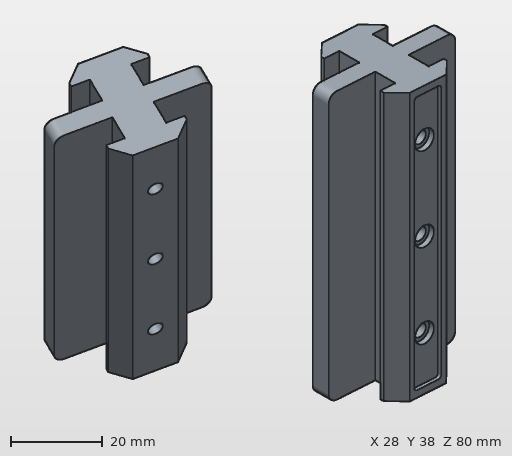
import cadquery as cq

width = 28.0
depth = 38.0
height = 80.0

web_thickness = 5.1
core_depth = 10.0
flange_depth = 19.0
flange_thickness = 5.0
flange_chamfer = 4.0
web_corner_radius = 2.5

recess_width = 8.0
recess_margin = 2.0
recess_depth = 1.0
recess_corner_radius = 0.8

hole_count = 3
hole_spacing = 25.0
hole_diameter = 3.6
counterbore_diameter = 5.6
counterbore_depth = 1.5

recess_floor_x = -width / 2 + recess_depth


def make_web():
    """Central plate in the YZ plane with rounded corners."""
    web = cq.Workplane("XY").box(web_thickness, depth, height)
    return web.edges("|X").fillet(web_corner_radius)


def make_core():
    """Block joining the two flanges through the web."""
    return cq.Workplane("XY").box(width - 2 * flange_thickness, core_depth, height)


def make_flange(side):
    """Side rail with its two outer edges chamfered; side is -1 or +1 along X."""
    center_x = side * (width - flange_thickness) / 2
    flange = cq.Workplane("XY").box(flange_thickness, flange_depth, height)
    outer_face = ">X" if side > 0 else "<X"
    flange = flange.faces(outer_face).edges("|Z").chamfer(flange_chamfer)
    return flange.translate((center_x, 0, 0))


def make_recess():
    """Rounded rectangular pocket cut from the -X face."""
    recess = cq.Workplane("XY").box(recess_depth, recess_width, height - 2 * recess_margin)
    recess = recess.edges("|X").fillet(recess_corner_radius)
    return recess.translate((recess_floor_x - recess_depth / 2, 0, 0))


def make_hole_cutters():
    """Through holes with counterbores starting at the recess floor."""
    holes = (
        cq.Workplane("YZ", origin=(-width / 2, 0, 0))
        .rarray(0.8, hole_spacing, 1, hole_count)
        .circle(hole_diameter / 2)
        .extrude(width)
    )
    counterbores = (
        cq.Workplane("YZ", origin=(recess_floor_x, 0, 0))
        .rarray(0.8, hole_spacing, 1, hole_count)
        .circle(counterbore_diameter / 2)
        .extrude(counterbore_depth)
    )
    return holes.union(counterbores)


body = make_web().union(make_core())
for side in (-1, 1):
    body = body.union(make_flange(side))

result = body.cut(make_recess()).cut(make_hole_cutters())